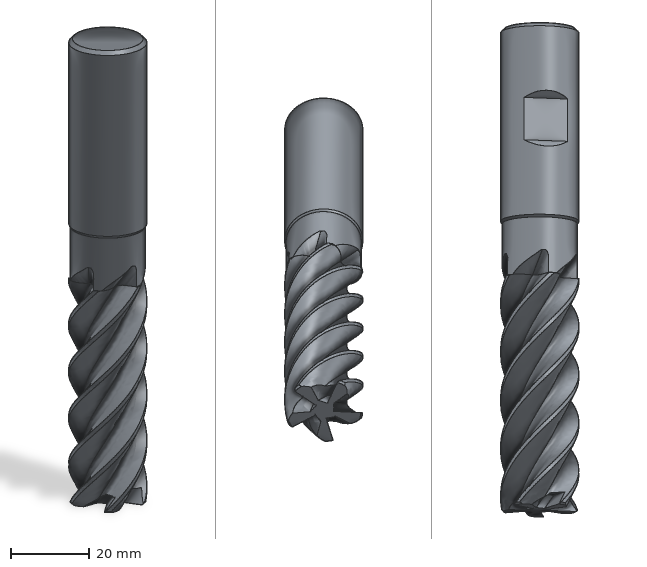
import cadquery as cq
import math

total_length = 125.0
diameter = 20.0
cutting_length = 60.0
shank_length = 50.0
neck_diameter = 19.2
neck_step_height = 0.6
shank_chamfer = 1.0
corner_chamfer = 0.5
cut_clearance = 3.0

flat_depth = 1.8
flat_length = 11.0
flat_from_top = 25.0

flute_count = 5
helix_angle = 45.0
top_edge_angle = -51.0
land_angle = 8.0
back_angle = 22.0
back_radius = 8.6
floor_angle = 40.0
floor_radius = 6.0
hook_angle = 56.0
hook_radius = 6.1
rake_angle = 65.0
rake_radius = 7.5

runout_height = 5.9
runout_lift = 4.5
runout_direction = 20.0

gash_depth = 3.6
gash_floor_width = 2.5
gash_inner_radius = 2.5
gash_ramp_angle = 45.0
gash_face_angle = 36.0

radius = diameter / 2
neck_radius = neck_diameter / 2
clear_radius = radius + cut_clearance
shank_bottom = total_length - shank_length
flute_pitch = 360.0 / flute_count
helix_lead = math.pi * diameter / math.tan(math.radians(helix_angle))
twist = 360.0 * cutting_length / helix_lead
bottom_edge_angle = top_edge_angle - twist


def polar(distance, angle):
    """Point at a distance from the axis and at an angle in degrees from +X."""
    turn = math.radians(angle)
    return (distance * math.cos(turn), distance * math.sin(turn))


def per_flute(tool):
    """Copies of a cutting tool around the axis, one for each flute."""
    copies = [tool.rotate((0, 0, 0), (0, 0, 1), i * flute_pitch).val() for i in range(flute_count)]
    return cq.Workplane(cq.Compound.makeCompound(copies))


def add_flute(path, edge_angle):
    """Continue a path from the end of one land, down the flute and up to the next edge."""
    back = polar(back_radius, edge_angle + back_angle)
    floor = polar(floor_radius, edge_angle + floor_angle)
    hook = polar(hook_radius, edge_angle + hook_angle)
    rake = polar(rake_radius, edge_angle + rake_angle)
    next_edge = polar(radius, edge_angle + flute_pitch)
    return path.threePointArc(back, floor).threePointArc(hook, rake).lineTo(*next_edge)


def make_fluted_bar():
    """Bar with the lands and flutes twisted along the helix."""
    path = cq.Workplane("XY").moveTo(*polar(radius, bottom_edge_angle))
    for i in range(flute_count):
        edge_angle = bottom_edge_angle + i * flute_pitch
        land_middle = polar(radius, edge_angle + land_angle / 2)
        land_end = polar(radius, edge_angle + land_angle)
        path = path.threePointArc(land_middle, land_end)
        path = add_flute(path, edge_angle)
    return path.close().twistExtrude(cutting_length, twist)


def make_corner_ring():
    """Ring that cuts the 45 degree chamfer at the corners of the teeth."""
    inside = radius - corner_chamfer
    outside = radius + corner_chamfer
    section = [(inside, 0), (outside, 0), (outside, 2 * corner_chamfer)]
    return cq.Workplane("XZ").polyline(section).close().revolve(360, (0, 0), (0, 1))


def gash_section(distance):
    """Outline with the end tooth's face on one side and the ramp behind the previous tooth."""
    face_shift = gash_depth * math.tan(math.radians(gash_face_angle))
    ramp_start = -distance * math.tan(math.radians(gash_ramp_angle))
    return [
        (0, 0),
        (face_shift, gash_depth),
        (face_shift - gash_floor_width, gash_depth),
        (ramp_start, 0),
    ]


def make_gash():
    """Groove along the end edge of one tooth."""
    plane = cq.Plane(
        origin=(0, 0, 0),
        xDir=(*polar(1, bottom_edge_angle + 90), 0),
        normal=(*polar(1, bottom_edge_angle), 0),
    )
    return (
        cq.Workplane(plane)
        .workplane(offset=gash_inner_radius)
        .polyline(gash_section(gash_inner_radius))
        .close()
        .workplane(offset=clear_radius - gash_inner_radius)
        .polyline(gash_section(clear_radius))
        .close()
        .loft(ruled=True)
    )


def make_cutter():
    """Fluted cutting part."""
    return make_fluted_bar().cut(make_corner_ring()).cut(per_flute(make_gash()))


def make_clamping_flat():
    """Notch that leaves a flat across the shank."""
    half_length = flat_length / 2
    flat_y = radius - flat_depth
    section = [
        (flat_y, -half_length),
        (radius, -half_length - flat_depth),
        (radius, half_length + flat_depth),
        (flat_y, half_length),
    ]
    centre = (0, 0, total_length - flat_from_top)
    return cq.Workplane("YZ", origin=centre).polyline(section).close().extrude(radius, both=True)


def make_runout():
    """Cut that carries one flute up into the neck and out through its side."""
    path = cq.Workplane("XY", origin=(0, 0, cutting_length))
    path = path.moveTo(*polar(radius, top_edge_angle + land_angle))
    outside = polar(clear_radius, top_edge_angle + (land_angle + flute_pitch) / 2)
    lower = add_flute(path, top_edge_angle).lineTo(*outside).close().val()
    lift = polar(runout_lift, top_edge_angle + flute_pitch + runout_direction)
    upper = lower.translate(cq.Vector(*lift, runout_height))
    return cq.Workplane(cq.Solid.makeLoft([lower, upper], True))


def make_shank():
    """Shank and neck, with the clamping flat and the flute runouts."""
    profile = [
        (0, cutting_length),
        (neck_radius, cutting_length),
        (neck_radius, shank_bottom - neck_step_height),
        (radius, shank_bottom),
        (radius, total_length - shank_chamfer),
        (radius - shank_chamfer, total_length),
        (0, total_length),
    ]
    shank = cq.Workplane("XZ").polyline(profile).close().revolve(360, (0, 0), (0, 1))
    return shank.cut(make_clamping_flat()).cut(per_flute(make_runout()))


shank = make_shank()
cutter = make_cutter()
result = cq.Compound.makeCompound([shank.val(), cutter.val()])